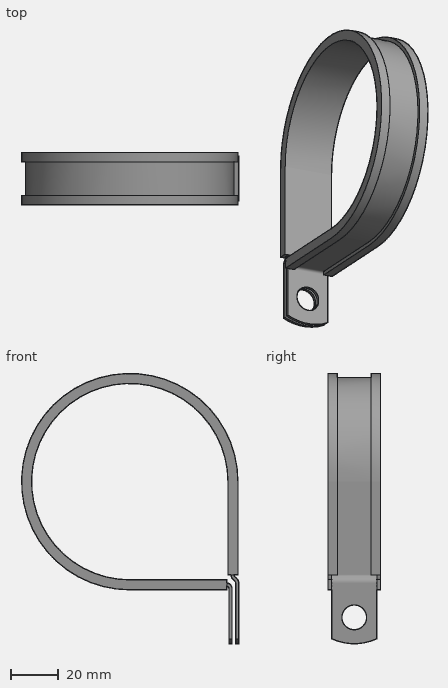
import cadquery as cq
import math

loop_radius = 45.55
cushion_thickness = 4.3
cushion_width = 22.1
rim_width = 4.0
groove_depth = 1.6
upright_end = -39.2
flat_end = 40.85

strap_thickness = 1.4
strap_width = 19.0
tab_gap = 1.4
tab_outer_x = 45.91
tab_bottom = -68.24
tab_end_radius = 22.5
hole_diameter = 10.3
hole_z = -57.1
bend_inside_radius = 1.2

bend_outside_radius = bend_inside_radius + strap_thickness
groove_width = cushion_width - 2 * rim_width
strap_outer = loop_radius - groove_depth
strap_inner = strap_outer - strap_thickness
tab_inner_x = tab_outer_x - strap_thickness
bent_tab_outer_x = tab_inner_x - tab_gap
bent_tab_inner_x = bent_tab_outer_x - strap_thickness


def loop_band(outer, inner, width):
    """Three-quarter ring with two straight tangent legs, centred on Y = 0."""
    diagonal = math.sqrt(0.5)
    return (
        cq.Workplane("XZ", origin=(0, width / 2, 0))
        .moveTo(outer, upright_end)
        .lineTo(outer, 0)
        .threePointArc((-outer * diagonal, outer * diagonal), (0, -outer))
        .lineTo(flat_end, -outer)
        .lineTo(flat_end, -inner)
        .lineTo(0, -inner)
        .threePointArc((-inner * diagonal, inner * diagonal), (inner, 0))
        .lineTo(inner, upright_end)
        .close()
        .extrude(width)
    )


def make_cushion():
    body = loop_band(loop_radius, loop_radius - cushion_thickness, cushion_width)
    return body.cut(loop_band(loop_radius, strap_outer, groove_width))


def strap_sheet():
    return cq.Workplane("XZ", origin=(0, strap_width / 2, 0))


def make_bent_tab():
    """Strap bending straight down as it leaves the flat leg; the bend starts inside the cushion."""
    bend_x = bent_tab_inner_x - bend_inside_radius
    bend_z = -strap_outer - bend_inside_radius
    return (
        strap_sheet()
        .moveTo(bend_x, -strap_inner)
        .radiusArc((bent_tab_outer_x, bend_z), bend_outside_radius)
        .lineTo(bent_tab_outer_x, tab_bottom)
        .lineTo(bent_tab_inner_x, tab_bottom)
        .lineTo(bent_tab_inner_x, bend_z)
        .radiusArc((bend_x, -strap_outer), -bend_inside_radius)
        .close()
        .extrude(strap_width)
    )


def make_joggled_tab():
    """Strap leaving the upright leg and stepping outward along a 45 degree slope."""
    slope = math.sqrt(0.5)
    centreline_radius = (bend_inside_radius + bend_outside_radius) / 2
    offset = tab_outer_x - strap_outer
    joggle_height = offset + 2 * centreline_radius * (2 * slope - 1)
    joggle_end = upright_end - joggle_height
    upper_centre_x = strap_outer + bend_inside_radius
    lower_centre_x = tab_inner_x - bend_inside_radius

    def upper_tangent(radius):
        return (upper_centre_x - radius * slope, upright_end - radius * slope)

    def lower_tangent(radius):
        return (lower_centre_x + radius * slope, joggle_end + radius * slope)

    return (
        strap_sheet()
        .moveTo(strap_outer, upright_end)
        .radiusArc(upper_tangent(bend_inside_radius), -bend_inside_radius)
        .lineTo(*lower_tangent(bend_outside_radius))
        .radiusArc((tab_outer_x, joggle_end), bend_outside_radius)
        .lineTo(tab_outer_x, tab_bottom)
        .lineTo(tab_inner_x, tab_bottom)
        .lineTo(tab_inner_x, joggle_end)
        .radiusArc(lower_tangent(bend_inside_radius), -bend_inside_radius)
        .lineTo(*upper_tangent(bend_outside_radius))
        .radiusArc((strap_inner, upright_end), bend_outside_radius)
        .close()
        .extrude(strap_width)
    )


def tab_face_outline():
    """Allowed tab area seen along X: strap width with a rounded lower end."""
    half_width = strap_width / 2
    corner_rise = tab_end_radius - math.sqrt(tab_end_radius**2 - half_width**2)
    corner_z = tab_bottom + corner_rise
    return (
        cq.Workplane("YZ")
        .moveTo(-half_width, 0)
        .lineTo(-half_width, corner_z)
        .threePointArc((0, tab_bottom), (half_width, corner_z))
        .lineTo(half_width, 0)
        .close()
        .extrude(tab_outer_x)
    )


def mounting_hole():
    return (
        cq.Workplane("YZ")
        .center(0, hole_z)
        .circle(hole_diameter / 2)
        .extrude(tab_outer_x)
    )


def finish_tab(tab):
    return tab.intersect(tab_face_outline()).cut(mounting_hole())


result = make_cushion()
for tab in (make_bent_tab(), make_joggled_tab()):
    result = result.union(finish_tab(tab))